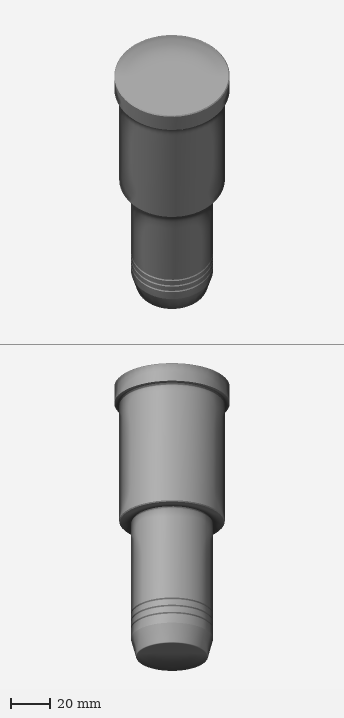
import cadquery as cq
import math

total_length = 151.0
head_diameter = 59.0
head_height = 10.0
head_chamfer = 0.5
body_diameter = 54.0
body_length = 66.0
body_chamfer = 0.5
shank_diameter = 42.0

tip_length = 10.0
tip_angle = 15.0
tip_fillet = 0.5

groove_width = 1.0
groove_depth = 0.5
groove_pitch = 4.0
groove_count = 3
lowest_groove_z = 15.0

head_relief_width = 1.2
head_relief_depth = 0.5
body_relief_width = 1.0
body_relief_depth = 0.5

head_bottom_z = total_length - head_height
body_bottom_z = head_bottom_z - body_length
shank_radius = shank_diameter / 2
tip_radius = shank_radius - tip_length * math.tan(math.radians(tip_angle))


def cylinder(diameter, bottom_z, height):
    return cq.Workplane("XY").workplane(offset=bottom_z).circle(diameter / 2).extrude(height)


def revolve_about_z(profile):
    """Full turn of a closed XZ profile about the pin axis."""
    return profile.revolve(360, (0, 0, 0), (0, 1, 0))


def v_groove(diameter, bottom_z, width, depth):
    """Ring that cuts a symmetric V groove into a cylinder of the given diameter."""
    outer_radius = diameter / 2
    profile = (
        cq.Workplane("XZ")
        .moveTo(outer_radius, bottom_z)
        .lineTo(outer_radius - depth, bottom_z + width / 2)
        .lineTo(outer_radius, bottom_z + width)
        .close()
    )
    return revolve_about_z(profile)


def make_tip():
    """Cone widening from the end face to the shank, with a rounded end edge."""
    profile = (
        cq.Workplane("XZ")
        .lineTo(tip_radius, 0)
        .lineTo(shank_radius, tip_length)
        .lineTo(0, tip_length)
        .close()
    )
    return revolve_about_z(profile).faces("<Z").edges().fillet(tip_fillet)


def make_shank():
    """Grooved shank ending in a slightly thinner neck below the body."""
    neck_bottom_z = body_bottom_z - body_relief_width
    shank = cylinder(shank_diameter, tip_length, neck_bottom_z - tip_length)
    neck = cylinder(shank_diameter - 2 * body_relief_depth, neck_bottom_z, body_relief_width)
    for index in range(groove_count):
        groove_z = lowest_groove_z + index * groove_pitch
        shank = shank.cut(v_groove(shank_diameter, groove_z, groove_width, groove_depth))
    return shank.union(neck)


def make_body():
    """Thick body with a chamfered lower edge and a V relief below the head."""
    body = cylinder(body_diameter, body_bottom_z, body_length)
    body = body.faces("<Z").edges().chamfer(body_chamfer)
    relief_z = head_bottom_z - head_relief_width
    return body.cut(v_groove(body_diameter, relief_z, head_relief_width, head_relief_depth))


def make_head():
    head = cylinder(head_diameter, head_bottom_z, head_height)
    return head.faces(">Z").edges().chamfer(head_chamfer)


result = make_tip().union(make_shank()).union(make_body()).union(make_head())